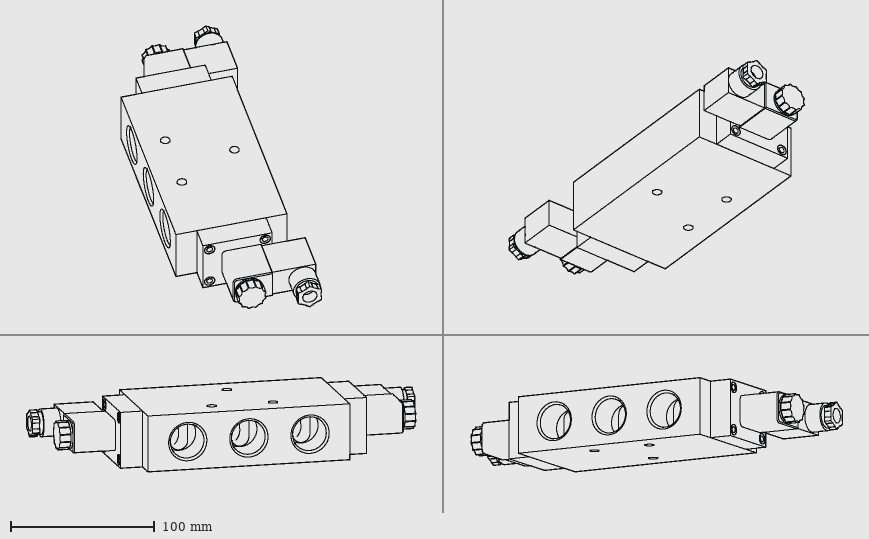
import cadquery as cq
import math


TOTAL_LENGTH = 274.5
TOTAL_WIDTH = 88.7
HEIGHT = 40.0

BODY_LENGTH = 145.0
BODY_WIDTH = 80.2
PORT_SPACING = 44.0
PORT_DIAMETER = 24.2
PORT_MOUTH_DIAMETER = 27.5
PORT_CHAMFER = 1.6
PORT_DEPTH = 24.7
PASSAGE_WIDTH = 12.5
PASSAGE_HEIGHT = 23.3
MOUNTING_HOLE_DIAMETER = 6.5
MOUNTING_HOLE_OFFSET = 22.0

CAP_THICKNESS = 16.0
CAP_WIDTH = 50.0
SCREW_SPACING_Y = 40.0
SCREW_SPACING_Z = 30.0
SCREW_SEAT_DIAMETER = 7.5
SCREW_SEAT_DEPTH = 0.3
SCREW_SOCKET_DIAMETER = 4.0
SCREW_SOCKET_DEPTH = 4.0

COIL_LENGTH = 30.2
COIL_HEIGHT = 22.2
COIL_FRONT_Y = -11.3
COIL_BACK_Y = 17.0
COIL_FILLET = 3.3
COIL_CHAMFER = 0.8
COLLAR_DIAMETER = 19.8
COLLAR_LENGTH = 1.5
KNOB_DIAMETER = 20.3
KNOB_LENGTH = 7.7
FLUTE_COUNT = 12
FLUTE_DIAMETER = 8.0
FLUTE_WIDTH = 4.7

CONNECTOR_GAP = 0.8
CONNECTOR_LENGTH = 28.0
CONNECTOR_HEIGHT = 20.9
GLAND_DIAMETER = 19.5
GLAND_NECK_DIAMETER = 16.0
GLAND_NECK_LENGTH = 2.7
NUT_ACROSS_FLATS = 16.7
NUT_LENGTH = 5.2
NUT_GROOVE_WIDTH = 4.0
NUT_GROOVE_DEPTH = 0.3
CABLE_HOLE_DIAMETER = 10.2

BODY_FRONT_Y = -BODY_WIDTH / 2
BODY_END_X = -BODY_LENGTH / 2
CAP_END_X = BODY_END_X - CAP_THICKNESS
COIL_END_X = CAP_END_X - COIL_LENGTH
CONNECTOR_BACK_Y = BODY_FRONT_Y + TOTAL_WIDTH
CONNECTOR_INNER_X = CAP_END_X - CONNECTOR_GAP
CONNECTOR_END_X = CONNECTOR_INNER_X - CONNECTOR_LENGTH
GLAND_Y = CONNECTOR_BACK_Y - GLAND_DIAMETER / 2
NECK_START_X = -TOTAL_LENGTH / 2 + NUT_LENGTH + GLAND_NECK_LENGTH


def block(x_range, y_range, height):
    """Box between two X and two Y limits, centred on Z = 0."""
    return (
        cq.Workplane("XY")
        .box(x_range[1] - x_range[0], y_range[1] - y_range[0], height)
        .translate((sum(x_range) / 2, sum(y_range) / 2, 0))
    )


def outward_plane(x, y=0):
    """Workplane facing -X, whose local x axis runs along -Y and local y axis along Z."""
    return cq.Workplane(cq.Plane(origin=(x, y, 0), xDir=(0, -1, 0), normal=(-1, 0, 0)))


def make_port(x):
    """Chamfered round port whose flat floor opens into a slot with a rounded back."""
    front = cq.Workplane(cq.Plane(origin=(x, BODY_FRONT_Y, 0), xDir=(1, 0, 0), normal=(0, -1, 0)))
    bore = front.circle(PORT_DIAMETER / 2).extrude(-PORT_DEPTH)
    mouth = cq.Workplane(
        cq.Solid.makeCone(
            PORT_MOUTH_DIAMETER / 2,
            PORT_DIAMETER / 2,
            PORT_CHAMFER,
            cq.Vector(x, BODY_FRONT_Y, 0),
            cq.Vector(0, 1, 0),
        )
    )
    slot = front.slot2D(PASSAGE_HEIGHT, PASSAGE_WIDTH, 90).extrude(-BODY_WIDTH)
    rounded_back = (
        outward_plane(x)
        .circle(PASSAGE_HEIGHT / 2)
        .extrude(PASSAGE_WIDTH / 2, both=True)
    )
    straight_part = block(
        (x - PASSAGE_WIDTH / 2, x + PASSAGE_WIDTH / 2), (BODY_FRONT_Y, 0), PASSAGE_HEIGHT
    )
    passage = slot.intersect(straight_part.union(rounded_back))
    return bore.union(mouth).union(passage)


def make_valve_body():
    body = cq.Workplane("XY").box(BODY_LENGTH, BODY_WIDTH, HEIGHT)
    for x in (-PORT_SPACING, 0, PORT_SPACING):
        body = body.cut(make_port(x))
    mounting_holes = [
        (0, MOUNTING_HOLE_OFFSET),
        (-MOUNTING_HOLE_OFFSET, -MOUNTING_HOLE_OFFSET),
        (MOUNTING_HOLE_OFFSET, -MOUNTING_HOLE_OFFSET),
    ]
    return body.faces(">Z").workplane().pushPoints(mounting_holes).hole(MOUNTING_HOLE_DIAMETER)


def make_end_cap():
    """Plate with four screw seats, each with a round socket, in its outer face."""
    cap = block((CAP_END_X, BODY_END_X), (-CAP_WIDTH / 2, CAP_WIDTH / 2), HEIGHT)
    screws = outward_plane(CAP_END_X).rarray(SCREW_SPACING_Y, SCREW_SPACING_Z, 2, 2)
    seats = screws.circle(SCREW_SEAT_DIAMETER / 2).extrude(-SCREW_SEAT_DEPTH)
    sockets = screws.circle(SCREW_SOCKET_DIAMETER / 2).extrude(-SCREW_SOCKET_DEPTH)
    return cap.cut(seats).cut(sockets)


def make_knob():
    """Round knob on a collar, with concave flutes around its rim."""
    knob_start_x = COIL_END_X - COLLAR_LENGTH
    collar = outward_plane(COIL_END_X).circle(COLLAR_DIAMETER / 2).extrude(COLLAR_LENGTH)
    knob = outward_plane(knob_start_x).circle(KNOB_DIAMETER / 2).extrude(KNOB_LENGTH)
    rim_chord_radius = math.sqrt((KNOB_DIAMETER / 2) ** 2 - (FLUTE_WIDTH / 2) ** 2)
    flute_axis_offset = math.sqrt((FLUTE_DIAMETER / 2) ** 2 - (FLUTE_WIDTH / 2) ** 2)
    flutes = (
        outward_plane(knob_start_x)
        .polarArray(rim_chord_radius + flute_axis_offset, 0, 360, FLUTE_COUNT)
        .circle(FLUTE_DIAMETER / 2)
        .extrude(KNOB_LENGTH)
    )
    return collar.union(knob.cut(flutes))


def make_solenoid():
    """Coil block with rounded front edges and a chamfered outer face, carrying its knob."""
    coil = block((COIL_END_X, CAP_END_X), (COIL_FRONT_Y, COIL_BACK_Y), COIL_HEIGHT)
    coil = coil.edges("|X and <Y").fillet(COIL_FILLET)
    coil = coil.faces("<X").edges("not(>Y)").chamfer(COIL_CHAMFER)
    return coil.union(make_knob())


def make_gland_nut():
    """Hexagon nut with corners up and down and a shallow groove along each flat."""
    start_x = -TOTAL_LENGTH / 2 + NUT_LENGTH
    across_corners = NUT_ACROSS_FLATS / math.cos(math.pi / 6)
    nut = (
        outward_plane(start_x)
        .transformed(rotate=(0, 0, 30))
        .polygon(6, across_corners)
        .extrude(NUT_LENGTH)
    )
    grooves = (
        outward_plane(start_x)
        .polarArray(NUT_ACROSS_FLATS / 2, 0, 360, 6)
        .rect(2 * NUT_GROOVE_DEPTH, NUT_GROOVE_WIDTH)
        .extrude(NUT_LENGTH)
    )
    return nut.cut(grooves).translate((0, GLAND_Y, 0))


def make_connector():
    """Plug block with a cable gland: barrel, neck and nut around a blind cable hole."""
    plug = block(
        (CONNECTOR_END_X, CONNECTOR_INNER_X), (COIL_BACK_Y, CONNECTOR_BACK_Y), CONNECTOR_HEIGHT
    )
    barrel = (
        outward_plane(CONNECTOR_END_X, GLAND_Y)
        .circle(GLAND_DIAMETER / 2)
        .extrude(CONNECTOR_END_X - NECK_START_X)
    )
    neck = (
        outward_plane(NECK_START_X, GLAND_Y)
        .circle(GLAND_NECK_DIAMETER / 2)
        .extrude(GLAND_NECK_LENGTH)
    )
    cable_hole = (
        outward_plane(NECK_START_X, GLAND_Y)
        .circle(CABLE_HOLE_DIAMETER / 2)
        .extrude(GLAND_NECK_LENGTH + NUT_LENGTH)
    )
    return plug.union(barrel).union(neck).union(make_gland_nut()).cut(cable_hole)


def both_ends(part):
    """The -X end part and its mirror image at the +X end, as separate solids."""
    return [part.val(), part.mirror("YZ").val()]


valve_body = make_valve_body()
end_caps = both_ends(make_end_cap())
solenoids = both_ends(make_solenoid())
connectors = both_ends(make_connector())

result = cq.Compound.makeCompound([valve_body.val(), *end_caps, *solenoids, *connectors])